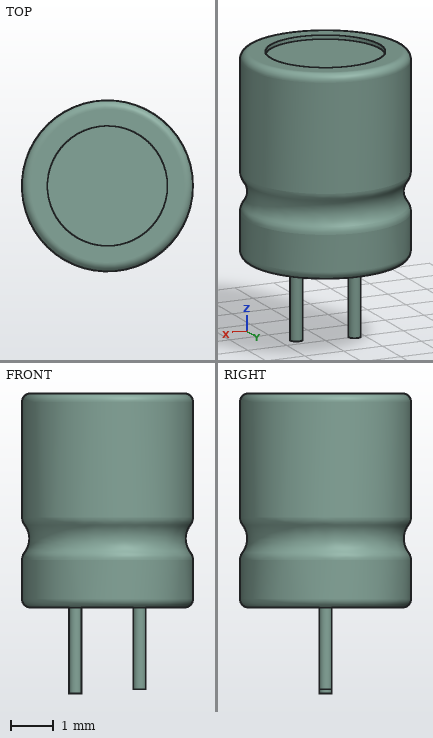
import cadquery as cq
import math

total_height = 7.0
body_radius = 4.0 / 2
body_bottom = 2.0
edge_radius = 0.2

groove_center = body_bottom + 1.61
groove_half_height = 0.5
groove_depth = 0.17
groove_lip_radius = 0.28

recess_diameter = 2.8
recess_depth = 0.1

pin_diameter = 0.3
pin_spacing = 1.5
short_pin_bottom = 0.1


def make_can():
    """Plain cylinder with rounded rims."""
    can = cq.Workplane("XY").workplane(offset=body_bottom)
    can = can.circle(body_radius).extrude(total_height - body_bottom)
    return can.faces("<Z or >Z").edges().fillet(edge_radius)


def make_groove():
    """Ring to cut: a concave waist arc with a tangent convex lip above and below it."""
    lip_angle = 2 * math.atan(groove_depth / groove_half_height)
    waist_radius = groove_half_height / math.sin(lip_angle) - groove_lip_radius

    def lip_point(angle, side):
        radius = body_radius - groove_lip_radius * (1 - math.cos(angle))
        height = groove_half_height - groove_lip_radius * math.sin(angle)
        return radius, groove_center + side * height

    waist_offset = waist_radius * math.sin(lip_angle)
    waist_start = lip_point(lip_angle, -1)[0], groove_center - waist_offset
    waist_end = lip_point(lip_angle, 1)[0], groove_center + waist_offset
    return (
        cq.Workplane("XZ")
        .moveTo(*lip_point(0, -1))
        .threePointArc(lip_point(lip_angle / 2, -1), waist_start)
        .threePointArc((body_radius - groove_depth, groove_center), waist_end)
        .threePointArc(lip_point(lip_angle / 2, 1), lip_point(0, 1))
        .close()
        .revolve(360, (0, 0, 0), (0, 1, 0))
    )


def make_recess():
    recess = cq.Workplane("XY").workplane(offset=total_height - recess_depth)
    return recess.circle(recess_diameter / 2).extrude(recess_depth)


def make_pin(x, bottom):
    """Straight round pin from its free end up to the can."""
    pin = cq.Workplane("XY").workplane(offset=bottom).center(x, 0)
    return pin.circle(pin_diameter / 2).extrude(body_bottom - bottom)


result = make_can().cut(make_groove()).cut(make_recess())
for pin_x, pin_bottom in ((-pin_spacing / 2, 0), (pin_spacing / 2, short_pin_bottom)):
    result = result.union(make_pin(pin_x, pin_bottom))